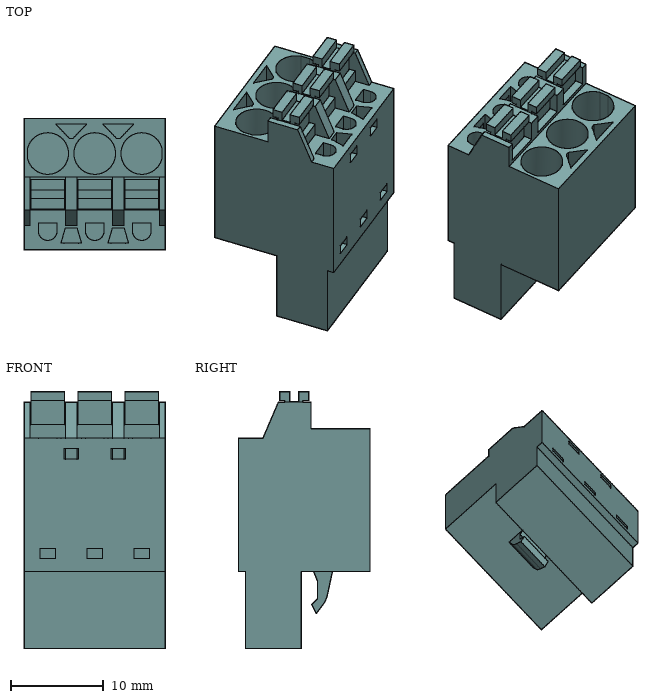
import cadquery as cq


WIDTH = 15.25
DEPTH = 14.2
HEIGHT = 27.73

POLE_PITCH = 5.07
POLES = [-POLE_PITCH, 0.0, POLE_PITCH]
BETWEEN_POLES = [-POLE_PITCH / 2, POLE_PITCH / 2]

BODY_BOTTOM = 8.32
LEDGE_TOP = 22.7
BACK_TOP = 23.75
SHELF_TOP = 24.15
WALL_TOP = 26.6
WALL_FRONT_FOOT = 2.63
WALL_FRONT_TOP = 4.3
WALL_BACK = 7.85
TAIL_FRONT = 0.75
TAIL_BACK = 6.8

SLOT_WIDTH = 3.8

HOOK_WIDTH = SLOT_WIDTH
HOOK_ROOT_FRONT = 8.1
HOOK_ROOT_BACK = 10.15
HOOK_BEND_START = (9.6, 5.75)
HOOK_BEND_MIDDLE = (9.37, 5.13)
HOOK_BEND_END = (9.05, 4.63)
HOOK_TIP = (8.4, 3.77)
HOOK_BARB = (7.9, 4.77)
HOOK_SHANK_FRONT = 8.5
HOOK_SHANK_BOTTOM = 5.38
HOOK_SHANK_TOP = 7.3

POCKET_DEPTH = 5.55
ROUND_RADIUS = 2.25
ROUND_Y = 10.4
SIDE_SKIN = 0.35
TRIANGLE_BACK = 13.55
TRIANGLE_FRONT = 12.03
TRIANGLE_BACK_WIDTH = 3.33
TRIANGLE_FRONT_WIDTH = 0.4
WIRE_WIDTH = 2.02
WIRE_FRONT = 1.03
WIRE_BACK = 2.9
WEDGE_FRONT = 0.75
WEDGE_BACK = 2.35
WEDGE_FRONT_WIDTH = 2.22
WEDGE_BACK_WIDTH = 1.28

WINDOW_DEPTH = WEDGE_FRONT
UPPER_WINDOW_WIDTH = 1.6
UPPER_WINDOW_BOTTOM = 20.45
UPPER_WINDOW_TOP = 21.57
LOWER_WINDOW_WIDTH = 1.7
LOWER_WINDOW_BOTTOM = 9.73
LOWER_WINDOW_TOP = 10.8

BUTTON_WIDTH = 3.63
STEM_FRONT = 5.0
STEM_BACK = 6.95
HEAD_BOTTOM = 26.75
NOTCH_BOTTOM = 26.68
NOTCH_FRONT = 5.55
NOTCH_BACK = 6.5
HEAD_FRONT = 4.45
HEAD_BACK = NOTCH_FRONT + NOTCH_BACK - HEAD_FRONT


def block(x, width, front, back, bottom, top):
    """Box centred on x, between the given Y and Z limits."""
    size = (width, back - front, top - bottom)
    return cq.Workplane("XY").box(*size, centered=(True, False, False)).translate((x, front, bottom))


def centred_extrude(side_outline, width):
    """Extrude a closed YZ outline equally to both sides of X = 0."""
    return side_outline.extrude(width / 2, both=True)


def trapezoid_pocket(x, front, back, front_width, back_width, top):
    """Cutter for a vertical pocket with a trapezoid mouth."""
    mouth = [
        (x - front_width / 2, front),
        (x + front_width / 2, front),
        (x + back_width / 2, back),
        (x - back_width / 2, back),
    ]
    return cq.Workplane("XY", origin=(0, 0, top)).polyline(mouth).close().extrude(-POCKET_DEPTH)


def make_shell():
    """Body, upright walls and tail as one side profile across the full width."""
    profile = [
        (TAIL_FRONT, 0),
        (TAIL_BACK, 0),
        (TAIL_BACK, BODY_BOTTOM),
        (DEPTH, BODY_BOTTOM),
        (DEPTH, BACK_TOP),
        (WALL_BACK, BACK_TOP),
        (WALL_BACK, WALL_TOP),
        (WALL_FRONT_TOP, WALL_TOP),
        (WALL_FRONT_FOOT, LEDGE_TOP),
        (0, LEDGE_TOP),
        (0, BODY_BOTTOM),
        (TAIL_FRONT, BODY_BOTTOM),
    ]
    return centred_extrude(cq.Workplane("YZ").polyline(profile).close(), WIDTH)


def make_hook():
    """Latch hook hanging below the body, behind the tail."""
    outline = (
        cq.Workplane("YZ")
        .moveTo(HOOK_ROOT_FRONT, BODY_BOTTOM)
        .lineTo(HOOK_ROOT_BACK, BODY_BOTTOM)
        .lineTo(*HOOK_BEND_START)
        .threePointArc(HOOK_BEND_MIDDLE, HOOK_BEND_END)
        .lineTo(*HOOK_TIP)
        .lineTo(*HOOK_BARB)
        .lineTo(HOOK_SHANK_FRONT, HOOK_SHANK_BOTTOM)
        .lineTo(HOOK_SHANK_FRONT, HOOK_SHANK_TOP)
        .close()
    )
    return centred_extrude(outline, HOOK_WIDTH)


def slot_cutter(x):
    """Space between two walls: a shelf for the button and a lower ledge before it."""
    above_shelf = block(x, SLOT_WIDTH, WALL_FRONT_TOP, WALL_BACK, SHELF_TOP, WALL_TOP)
    above_ledge = block(x, SLOT_WIDTH, 0, WALL_FRONT_TOP, LEDGE_TOP, WALL_TOP)
    return above_shelf.union(above_ledge)


def round_opening(x):
    """Round opening in the back top face, kept clear of the outer sides."""
    cylinder = (
        cq.Workplane("XY", origin=(x, ROUND_Y, BACK_TOP)).circle(ROUND_RADIUS).extrude(-POCKET_DEPTH)
    )
    inside_width = WIDTH - 2 * SIDE_SKIN
    return cylinder.intersect(block(0, inside_width, 0, DEPTH, BODY_BOTTOM, BACK_TOP))


def wire_opening(x):
    """D-shaped wire entry in the front ledge, rounded towards the front."""
    radius = WIRE_WIDTH / 2
    return (
        cq.Workplane("XY", origin=(x, 0, LEDGE_TOP))
        .moveTo(-radius, WIRE_BACK)
        .lineTo(-radius, WIRE_FRONT + radius)
        .threePointArc((0, WIRE_FRONT), (radius, WIRE_FRONT + radius))
        .lineTo(radius, WIRE_BACK)
        .close()
        .extrude(-POCKET_DEPTH)
    )


def triangle_pocket(x):
    """Blunt triangular pocket in the back top face."""
    return trapezoid_pocket(
        x, TRIANGLE_FRONT, TRIANGLE_BACK, TRIANGLE_FRONT_WIDTH, TRIANGLE_BACK_WIDTH, BACK_TOP
    )


def wedge_pocket(x):
    """Wedge-shaped pocket in the front ledge."""
    return trapezoid_pocket(
        x, WEDGE_FRONT, WEDGE_BACK, WEDGE_FRONT_WIDTH, WEDGE_BACK_WIDTH, LEDGE_TOP
    )


def upper_window(x):
    """Front window that opens into a wedge pocket."""
    return block(x, UPPER_WINDOW_WIDTH, 0, WINDOW_DEPTH, UPPER_WINDOW_BOTTOM, UPPER_WINDOW_TOP)


def lower_window(x):
    """Blind front window below a pole."""
    return block(x, LOWER_WINDOW_WIDTH, 0, WINDOW_DEPTH, LOWER_WINDOW_BOTTOM, LOWER_WINDOW_TOP)


def make_housing():
    body = make_shell().union(make_hook())
    for x in POLES:
        for cutter in (slot_cutter, round_opening, wire_opening, lower_window):
            body = body.cut(cutter(x))
    for x in BETWEEN_POLES:
        for cutter in (triangle_pocket, wedge_pocket, upper_window):
            body = body.cut(cutter(x))
    return body


def make_button(x):
    """Button standing on the shelf: a stem under a notched, overhanging head."""
    stem = block(x, BUTTON_WIDTH, STEM_FRONT, STEM_BACK, SHELF_TOP, HEAD_BOTTOM)
    head = block(x, BUTTON_WIDTH, HEAD_FRONT, HEAD_BACK, HEAD_BOTTOM, HEIGHT)
    notch = block(x, BUTTON_WIDTH, NOTCH_FRONT, NOTCH_BACK, NOTCH_BOTTOM, HEIGHT)
    return stem.union(head).cut(notch)


housing = make_housing()
buttons = [make_button(x) for x in POLES]

result = cq.Compound.makeCompound([housing.val(), *[button.val() for button in buttons]])